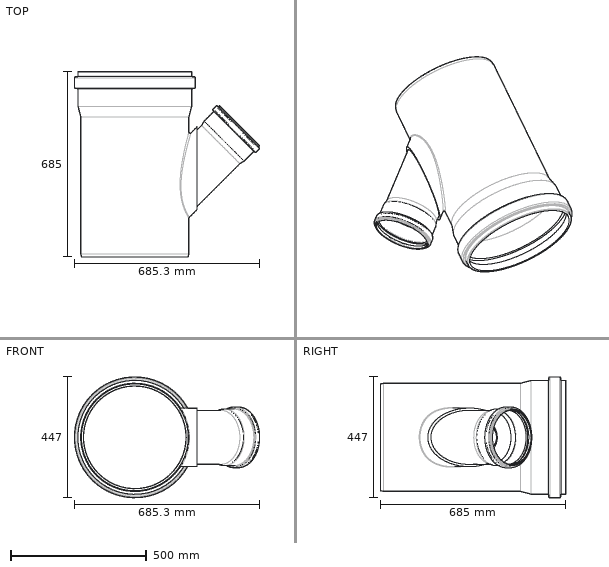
import cadquery as cq
import math

pipe_length = 685.0
pipe_outer_d = 400.5
pipe_bore_d = 379.0
spigot_bevel_length = 12.0
spigot_bevel_depth = 3.0

socket_outer_d = 421.0
socket_bore_d = 403.0
socket_depth = 128.0
socket_taper_end = 168.0
bead_outer_d = 447.0
bead_groove_d = 429.5
bead_start = 18.5
bead_end = 63.0
bead_round = 5.0
bead_root_fillet = 3.0
lip_round = 1.5

branch_angle = 45
branch_origin_y = 98.0
branch_outer_d = 200.0
branch_bore_d = 189.0
branch_end = 548.0
branch_inner_x = pipe_outer_d / 2

branch_socket_outer_d = 210.0
branch_socket_bore_d = 201.0
branch_socket_depth = 81.0
branch_taper_end = 99.0
branch_bead_outer_d = 226.0
branch_bead_groove_d = 217.0
branch_bead_start = 7.0
branch_bead_end = 29.5
branch_bead_round = 1.5
branch_bead_root_fillet = 1.5
branch_lip_round = 1.0

collar_outer_d = 217.0
collar_end_x = 230.5
collar_fillet = 4.45
joint_margin = 7

trim_size = 2 * pipe_length
position_tolerance = 0.1

branch_direction = cq.Vector(
    math.cos(math.radians(branch_angle)), math.sin(math.radians(branch_angle)), 0
)
main_plane = cq.Plane(origin=(0, 0, 0), xDir=(1, 0, 0), normal=(0, 1, 0))
branch_plane = cq.Plane(origin=(0, branch_origin_y, 0), xDir=(0, 0, 1), normal=branch_direction)


def cylinder(plane, diameter, start, end):
    """Solid cylinder on the axis of the plane, between two distances along it."""
    return cq.Workplane(plane).workplane(offset=start).circle(diameter / 2).extrude(end - start)


def stepped_core(plane, pipe_d, socket_d, length, depth, taper_end):
    """Solid of revolution: a straight pipe that widens through a taper into a socket."""
    profile = [
        (0, 0),
        (pipe_d / 2, 0),
        (pipe_d / 2, length - taper_end),
        (socket_d / 2, length - depth),
        (socket_d / 2, length),
        (0, length),
    ]
    side_plane = cq.Plane(plane.origin, plane.xDir, plane.xDir.cross(plane.zDir))
    return cq.Workplane(side_plane).polyline(profile).close().revolve(360, (0, 0), (0, 1))


def beyond_x(x):
    """Block that fills the space on the +X side of a plane."""
    return cq.Workplane("YZ", origin=(x, 0, 0)).rect(trim_size, trim_size).extrude(trim_size)


def socket_bead(plane, outer_d, length, start, end, rounding):
    """Solid disc with rounded rims that forms the outside of a seal bead."""
    return cylinder(plane, outer_d, length - end, length - start).edges().fillet(rounding)


def seal_groove(plane, groove_d, wall, length, start, end):
    """Groove inside a seal bead, leaving the socket's wall thickness at its sides."""
    return cylinder(plane, groove_d, length - end + wall, length - start - wall)


def fillet_rims(body, plane, diameter, positions, radius):
    """Fillet the circular edges of one diameter at the given distances along the axis."""

    def is_rim(edge):
        if edge.geomType() != "CIRCLE" or abs(edge.radius() - diameter / 2) > position_tolerance:
            return False
        along = plane.toLocalCoords(edge.arcCenter()).z
        return any(abs(along - position) < position_tolerance for position in positions)

    return body.edges().filter(is_rim).fillet(radius)


def make_main_pipe():
    """Main pipe with its socket and the collar, bored through."""
    pipe = stepped_core(
        main_plane, pipe_outer_d, socket_outer_d, pipe_length, socket_depth, socket_taper_end
    )
    pipe = pipe.faces("<Y").chamfer(spigot_bevel_depth, spigot_bevel_length)

    collar = cylinder(branch_plane, collar_outer_d, 0, branch_end).cut(beyond_x(collar_end_x))
    pipe = pipe.union(collar)
    joint_min_x = math.sqrt(pipe_outer_d**2 - collar_outer_d**2) / 2
    joint_box = cq.selectors.BoxSelector(
        (joint_min_x - joint_margin, 0, -collar_outer_d),
        (collar_end_x - joint_margin, pipe_length - socket_taper_end - joint_margin, collar_outer_d),
        boundingbox=True,
    )
    pipe = pipe.edges(joint_box).fillet(collar_fillet)

    pipe = pipe.union(
        socket_bead(main_plane, bead_outer_d, pipe_length, bead_start, bead_end, bead_round)
    )
    bead_sides = [pipe_length - bead_end, pipe_length - bead_start]
    pipe = fillet_rims(pipe, main_plane, socket_outer_d, bead_sides, bead_root_fillet)
    pipe = fillet_rims(pipe, main_plane, socket_outer_d, [pipe_length], lip_round)
    pipe = pipe.cut(
        stepped_core(main_plane, pipe_bore_d, socket_bore_d, pipe_length, socket_depth, socket_taper_end)
    )
    wall = (socket_outer_d - socket_bore_d) / 2
    pipe = pipe.cut(seal_groove(main_plane, bead_groove_d, wall, pipe_length, bead_start, bead_end))
    return pipe.cut(cylinder(branch_plane, branch_outer_d, 0, branch_end))


def make_branch_pipe():
    """Branch pipe with its socket, its inner end cut parallel to the main axis."""
    branch = stepped_core(
        branch_plane,
        branch_outer_d,
        branch_socket_outer_d,
        branch_end,
        branch_socket_depth,
        branch_taper_end,
    )
    bead = socket_bead(
        branch_plane,
        branch_bead_outer_d,
        branch_end,
        branch_bead_start,
        branch_bead_end,
        branch_bead_round,
    )
    bore = stepped_core(
        branch_plane,
        branch_bore_d,
        branch_socket_bore_d,
        branch_end,
        branch_socket_depth,
        branch_taper_end,
    )
    wall = (branch_socket_outer_d - branch_socket_bore_d) / 2
    groove = seal_groove(
        branch_plane, branch_bead_groove_d, wall, branch_end, branch_bead_start, branch_bead_end
    )
    bead_sides = [branch_end - branch_bead_end, branch_end - branch_bead_start]
    branch = branch.union(bead)
    branch = fillet_rims(branch, branch_plane, branch_socket_outer_d, bead_sides, branch_bead_root_fillet)
    branch = fillet_rims(branch, branch_plane, branch_socket_outer_d, [branch_end], branch_lip_round)
    branch = branch.cut(bore).cut(groove)
    return branch.intersect(beyond_x(branch_inner_x))


main_pipe = make_main_pipe()
branch_pipe = make_branch_pipe()

result = cq.Compound.makeCompound([main_pipe.val(), branch_pipe.val()])